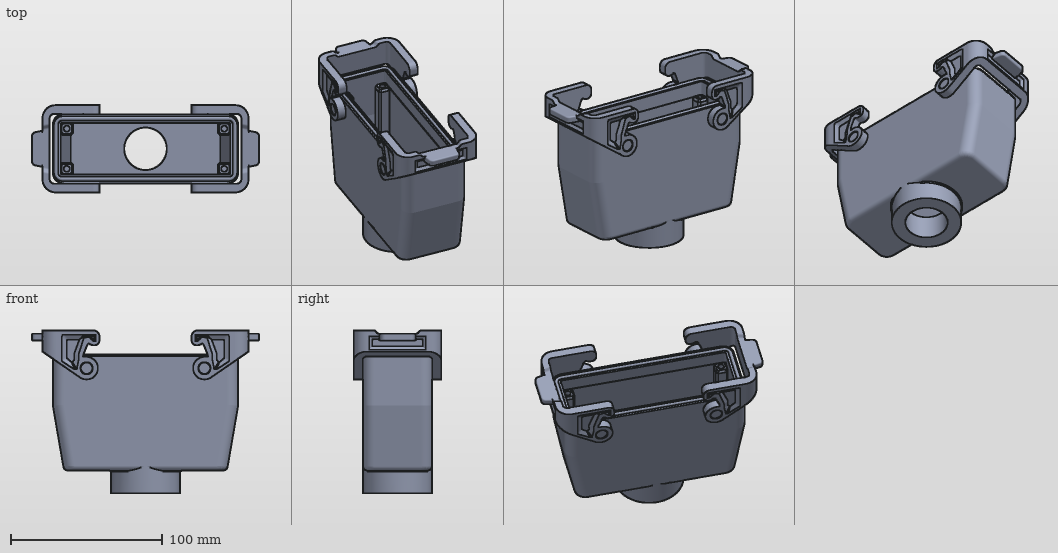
import cadquery as cq
import math


BEVEL_ANGLE = 45.0

BODY_LENGTH = 122.8
BODY_WIDTH = 46.0
BODY_DEPTH = 75.6
KINK_DEPTH = 32.6
BOTTOM_LENGTH = 108.0
CORNER_RADIUS = 7.3
BOTTOM_RADIUS = 3.2
END_SLOPE = (BODY_LENGTH - BOTTOM_LENGTH) / 2 / (BODY_DEPTH - KINK_DEPTH)

END_WALL = 5.3
FLOOR_THICKNESS = 3.8
CAVITY_WIDTH = 33.6
CAVITY_LENGTH = BODY_LENGTH - 2 * END_WALL
MOUTH_WIDTH = 34.2
MOUTH_DEPTH = 9.5
CAVITY_CORNER = 1.0

RIDGE_RADIUS = 1.4
RIDGE_END_INSET = 2.2
RIDGE_SIDE_INSET = 3.0
RIDGE_CORNER = 4.0

POST_X = 52.1
POST_Y = 13.3
POST_SIZE = 8.4
POST_CHAMFER = 1.4
POST_TOP_NARROWING = 1.0
POST_TOP_BEVEL_HEIGHT = 1.8
POST_TOP_DEPTH = 9.0
POST_HOLE_DIAMETER = 4.0
POST_HOLE_DEPTH = 12.0

ENTRY_RADIUS = 23.0
ENTRY_BORE_RADIUS = 14.0
ENTRY_LENGTH = 15.0
ENTRY_FLARE = 0.8

LEVER_TOP = 17.3
LEVER_WIDTH = 58.0
LEVER_BACK_X = -68.3
BRIDGE_THICKNESS = 4.9
LEVER_OUTER_RADIUS = 9.0
LEVER_INNER_RADIUS = 2.8
BACK_LOWER_Z = 3.2
PIVOT_X = -39.0
PIVOT_Z = -7.8
PIVOT_RADIUS = 7.5
PIN_RADIUS = 4.1
PIN_RECESS = 0.3

HOOK_TIP_X = -30.4
HOOK_TOP_RADIUS = 4.2
HOOK_TIP_RADIUS = 3.4
HOOK_BOTTOM_Z = 7.3
SLOT_TOP_Z = 8.4
SLOT_TOP_X = -37.5
SLOT_FOOT_X = -41.3
SLOT_FOOT_Z = 0.8

POCKET_DEPTH = 1.7
POCKET_CORNER = 3.2
POCKET_MOUTH = [
    (-55.4, 14.5), (-40.0, 14.5), (-41.5, 10.2), (-44.3, 1.2),
    (-44.3, -2.4), (-45.5, -8.6), (-46.9, -8.6), (-55.4, -3.2),
]
POCKET_FLOOR = [
    (-52.3, 11.2), (-43.7, 11.2), (-44.2, 10.0), (-47.3, 1.6),
    (-47.2, -2.4), (-48.4, -3.7), (-48.9, -3.8), (-52.3, -1.0),
]
BRANCH_DEPTH = 1.0
BRANCH_MOUTH = [
    (-41.5, 14.5), (-32.8, 14.5), (-32.8, 9.9),
    (-34.2, 9.9), (-37.5, 13.0), (-41.5, 12.0),
]
BRANCH_FLOOR = [
    (-41.5, 13.5), (-33.8, 13.5), (-33.8, 11.5),
    (-34.2, 11.5), (-37.5, 13.2), (-41.5, 13.0),
]

RECESS_HALF_WIDTH = 18.8
RECESS_LOW_Z = 4.4
RECESS_HIGH_Z = 13.5
RECESS_DEPTH = 1.7
RECESS_WALL_ANGLE = 52.0
RECESS_CORNER = 0.7
GRIP_TOP_Z = 15.1
GRIP_THICKNESS = 4.6
GRIP_TIP_X = -75.25
GRIP_TIP_HALF_WIDTH = 10.6
GRIP_ROOT_HALF_WIDTH = 13.0
GRIP_CORNER_RADIUS = 3.0
GRIP_EDGE_RADIUS = 1.0
NOTCH_RUN = 4.0

BRIDGE_INNER_X = LEVER_BACK_X + BRIDGE_THICKNESS


def shell_profile(half_length, depth):
    """Closed XZ outline: straight upper ends, then ends leaning inwards to the bottom."""
    bottom_half = half_length - END_SLOPE * (depth - KINK_DEPTH)
    return cq.Workplane("XZ").polyline([
        (-half_length, 0),
        (half_length, 0),
        (half_length, -KINK_DEPTH),
        (bottom_half, -depth),
        (-bottom_half, -depth),
        (-half_length, -KINK_DEPTH),
    ]).close()


def make_shell():
    shell = shell_profile(BODY_LENGTH / 2, BODY_DEPTH).extrude(BODY_WIDTH / 2, both=True)
    shell = shell.edges("not(|X or |Y)").fillet(CORNER_RADIUS)
    return shell.faces("<Z").edges().fillet(BOTTOM_RADIUS)


def make_ridge():
    """Half-round bead swept around the rim face."""
    half_x = BODY_LENGTH / 2 - RIDGE_END_INSET
    half_y = BODY_WIDTH / 2 - RIDGE_SIDE_INSET
    straight_x = half_x - RIDGE_CORNER
    straight_y = half_y - RIDGE_CORNER
    path = (
        cq.Workplane("XY")
        .moveTo(0, -half_y)
        .lineTo(straight_x, -half_y)
        .radiusArc((half_x, -straight_y), -RIDGE_CORNER)
        .lineTo(half_x, straight_y)
        .radiusArc((straight_x, half_y), -RIDGE_CORNER)
        .lineTo(-straight_x, half_y)
        .radiusArc((-half_x, straight_y), -RIDGE_CORNER)
        .lineTo(-half_x, -straight_y)
        .radiusArc((-straight_x, -half_y), -RIDGE_CORNER)
        .close()
    )
    section = (
        cq.Workplane("YZ", origin=(0, -half_y, 0))
        .moveTo(-RIDGE_RADIUS, 0)
        .radiusArc((0, RIDGE_RADIUS), RIDGE_RADIUS)
        .radiusArc((RIDGE_RADIUS, 0), RIDGE_RADIUS)
        .close()
    )
    return section.sweep(path)


def make_cavity():
    """Cavity following the lean of the end walls, with a slightly wider mouth."""
    depth = BODY_DEPTH - FLOOR_THICKNESS
    cavity = shell_profile(CAVITY_LENGTH / 2, depth).extrude(CAVITY_WIDTH / 2, both=True)
    cavity = cavity.edges("not(|X or |Y)").fillet(CAVITY_CORNER)
    mouth = (
        cq.Workplane("XY")
        .rect(CAVITY_LENGTH, MOUTH_WIDTH)
        .extrude(-MOUTH_DEPTH)
        .edges("|Z")
        .fillet(CAVITY_CORNER)
    )
    return cavity.union(mouth)


def make_posts(envelope):
    """Four screw posts reaching down into the end walls and floor of the hood."""
    centres = [(sx * POST_X, sy * POST_Y) for sx in (-1, 1) for sy in (-1, 1)]
    section = cq.Sketch().rect(POST_SIZE, POST_SIZE).vertices().chamfer(POST_CHAMFER)
    shoulder = (
        cq.Workplane("XY", origin=(0, 0, -POST_TOP_DEPTH - POST_TOP_BEVEL_HEIGHT))
        .pushPoints(centres)
        .placeSketch(section)
    )
    bevel_angle = math.degrees(math.atan2(POST_TOP_NARROWING, POST_TOP_BEVEL_HEIGHT))
    tops = shoulder.extrude(POST_TOP_BEVEL_HEIGHT, taper=bevel_angle)
    posts = shoulder.extrude(-BODY_DEPTH).union(tops)
    holes = (
        cq.Workplane("XY", origin=(0, 0, -POST_TOP_DEPTH))
        .pushPoints(centres)
        .circle(POST_HOLE_DIAMETER / 2)
        .extrude(-POST_HOLE_DEPTH)
    )
    return posts.intersect(envelope).cut(holes)


def make_entry():
    """Round cable entry below the bottom, flared over the flat part of the bottom."""
    start = cq.Workplane("XY", origin=(0, 0, BOTTOM_RADIUS - BODY_DEPTH))
    entry = start.circle(ENTRY_RADIUS).extrude(-ENTRY_LENGTH - BOTTOM_RADIUS)
    flare = (
        cq.Workplane("XY", origin=(0, 0, -BODY_DEPTH))
        .circle(ENTRY_RADIUS + ENTRY_FLARE)
        .extrude(-ENTRY_FLARE, taper=BEVEL_ANGLE)
    )
    flat_bottom = cq.Workplane("XY").box(
        BODY_LENGTH, BODY_WIDTH - 2 * BOTTOM_RADIUS, 2 * (BODY_DEPTH + ENTRY_LENGTH)
    )
    return entry.union(flare.intersect(flat_bottom))


def make_hood():
    shell = make_shell()
    hood = shell.union(make_ridge()).cut(make_cavity())
    hood = hood.union(make_posts(shell)).union(make_entry())
    bore = (
        cq.Workplane("XY", origin=(0, 0, FLOOR_THICKNESS - BODY_DEPTH))
        .circle(ENTRY_BORE_RADIUS)
        .extrude(-FLOOR_THICKNESS - ENTRY_LENGTH)
    )
    return hood.cut(bore)


def lever_side_outline():
    """XZ outline of a lever: bridge at the left, hook at the upper right, pivot eye below."""
    dx = PIVOT_X - LEVER_BACK_X
    dz = PIVOT_Z - BACK_LOWER_Z
    tangent_angle = math.atan2(dz, dx) - math.asin(PIVOT_RADIUS / math.hypot(dx, dz))
    touch_x = PIVOT_X + PIVOT_RADIUS * math.sin(tangent_angle)
    touch_z = PIVOT_Z - PIVOT_RADIUS * math.cos(tangent_angle)
    eye_top_z = PIVOT_Z + PIVOT_RADIUS
    hook_bottom_x = HOOK_TIP_X - HOOK_TIP_RADIUS
    return (
        cq.Workplane("XZ")
        .moveTo(LEVER_BACK_X, BACK_LOWER_Z)
        .lineTo(LEVER_BACK_X, LEVER_TOP)
        .lineTo(HOOK_TIP_X - HOOK_TOP_RADIUS, LEVER_TOP)
        .radiusArc((HOOK_TIP_X, LEVER_TOP - HOOK_TOP_RADIUS), HOOK_TOP_RADIUS)
        .lineTo(HOOK_TIP_X, HOOK_BOTTOM_Z + HOOK_TIP_RADIUS)
        .radiusArc((hook_bottom_x, HOOK_BOTTOM_Z), HOOK_TIP_RADIUS)
        .spline(
            [(SLOT_TOP_X, SLOT_TOP_Z), (SLOT_FOOT_X, SLOT_FOOT_Z)],
            tangents=[(-1, 0), (SLOT_FOOT_X - SLOT_TOP_X, SLOT_FOOT_Z - SLOT_TOP_Z)],
            includeCurrent=True,
        )
        .lineTo(SLOT_FOOT_X, eye_top_z)
        .lineTo(PIVOT_X, eye_top_z)
        .threePointArc((PIVOT_X + PIVOT_RADIUS, PIVOT_Z), (PIVOT_X, PIVOT_Z - PIVOT_RADIUS))
        .radiusArc((touch_x, touch_z), PIVOT_RADIUS)
        .close()
    )


def make_lever_frame():
    """U-shaped frame: the side outline limited to the two arms and the bridge."""
    side = lever_side_outline().extrude(LEVER_WIDTH / 2, both=True)
    height = LEVER_TOP - PIVOT_Z + PIVOT_RADIUS
    base = cq.Workplane("XY", origin=(0, 0, LEVER_TOP))
    length = HOOK_TIP_X - LEVER_BACK_X + PIVOT_RADIUS
    outer = (
        base.center(LEVER_BACK_X + length / 2, 0)
        .rect(length, LEVER_WIDTH)
        .extrude(-height)
        .edges("|Z and <X")
        .fillet(LEVER_OUTER_RADIUS)
    )
    inner = (
        base.center(BRIDGE_INNER_X + length / 2, 0)
        .rect(length, BODY_WIDTH)
        .extrude(-height)
        .edges("|Z and <X")
        .fillet(LEVER_INNER_RADIUS)
    )
    return side.intersect(outer.cut(inner))


def sunk_shape(mouth, floor, depth):
    """Pocket in the -Y arm face, sloping from its mouth outline to its floor outline."""
    return (
        cq.Workplane("XZ", origin=(0, -LEVER_WIDTH / 2, 0))
        .polyline(mouth)
        .close()
        .workplane(offset=-depth)
        .polyline(floor)
        .close()
        .loft(ruled=True, combine=True)
    )


def back_corner_edges():
    """Selector for the two sloping pocket edges nearest the bridge."""
    low_x = POCKET_MOUTH[-1][0]
    high_x = POCKET_FLOOR[-1][0]
    inset = (high_x - low_x) / 4
    outer_y = -LEVER_WIDTH / 2
    return cq.selectors.BoxSelector(
        (low_x + inset, outer_y + POCKET_DEPTH / 4, -LEVER_TOP),
        (high_x - inset, outer_y + POCKET_DEPTH * 3 / 4, LEVER_TOP),
    )


def make_arm_pocket():
    """Pocket of the -Y arm with its shallow branch into the hook."""
    main = sunk_shape(POCKET_MOUTH, POCKET_FLOOR, POCKET_DEPTH)
    main = main.edges(back_corner_edges()).fillet(POCKET_CORNER)
    branch = sunk_shape(BRANCH_MOUTH, BRANCH_FLOOR, BRANCH_DEPTH)
    return main.union(branch)


def make_pin_recess():
    """Shallow round recess marking the pivot pin in the -Y arm."""
    return (
        cq.Workplane("XZ", origin=(PIVOT_X, -LEVER_WIDTH / 2, PIVOT_Z))
        .circle(PIN_RADIUS)
        .extrude(-PIN_RECESS, taper=BEVEL_ANGLE)
    )


def make_bridge_recess():
    """Shallow rectangular recess with sloping walls in the outer face of the bridge."""
    middle_z = (RECESS_LOW_Z + RECESS_HIGH_Z) / 2
    return (
        cq.Workplane("YZ", origin=(LEVER_BACK_X, 0, middle_z))
        .rect(2 * RECESS_HALF_WIDTH, RECESS_HIGH_Z - RECESS_LOW_Z)
        .extrude(RECESS_DEPTH, taper=RECESS_WALL_ANGLE)
        .edges("not(|Y or |Z)")
        .fillet(RECESS_CORNER)
    )


def grip_half_width(x):
    """Half width of the thumb grip, flaring from its tip to the inside of the bridge."""
    flare = (GRIP_ROOT_HALF_WIDTH - GRIP_TIP_HALF_WIDTH) / (BRIDGE_INNER_X - GRIP_TIP_X)
    return GRIP_TIP_HALF_WIDTH + flare * (x - GRIP_TIP_X)


def notch_section(plane, x):
    """YZ section of the bridge notch at x: flat floor at grip level, S-shaped sides."""
    low = grip_half_width(x)
    high = low + NOTCH_RUN
    return (
        plane.moveTo(-low, GRIP_TOP_Z)
        .lineTo(low, GRIP_TOP_Z)
        .spline([(high, LEVER_TOP)], tangents=[(1, 0), (1, 0)], includeCurrent=True)
        .lineTo(-high, LEVER_TOP)
        .spline([(-low, GRIP_TOP_Z)], tangents=[(1, 0), (1, 0)], includeCurrent=True)
        .close()
    )


def make_notch():
    outer = notch_section(cq.Workplane("YZ", origin=(LEVER_BACK_X, 0, 0)), LEVER_BACK_X)
    sections = notch_section(outer.workplane(offset=BRIDGE_THICKNESS), BRIDGE_INNER_X)
    return sections.loft(ruled=True, combine=True)


def make_grip():
    """Thumb grip: a flat tongue running from the inside of the bridge out to its tip."""
    return (
        cq.Workplane("XY", origin=(0, 0, GRIP_TOP_Z))
        .polyline([
            (GRIP_TIP_X, -GRIP_TIP_HALF_WIDTH),
            (BRIDGE_INNER_X, -GRIP_ROOT_HALF_WIDTH),
            (BRIDGE_INNER_X, GRIP_ROOT_HALF_WIDTH),
            (GRIP_TIP_X, GRIP_TIP_HALF_WIDTH),
        ])
        .close()
        .extrude(-GRIP_THICKNESS)
        .edges("|Z and <X")
        .fillet(GRIP_CORNER_RADIUS)
        .faces("<X")
        .edges(">Z or <Z")
        .fillet(GRIP_EDGE_RADIUS)
    )


def make_lever():
    lever = make_lever_frame()
    arm_cuts = make_arm_pocket().union(make_pin_recess())
    lever = lever.cut(arm_cuts).cut(arm_cuts.mirror("XZ"))
    lever = lever.cut(make_bridge_recess()).cut(make_notch())
    return lever.union(make_grip())


left_lever = make_lever()
result = make_hood().union(left_lever).union(left_lever.mirror("YZ"))